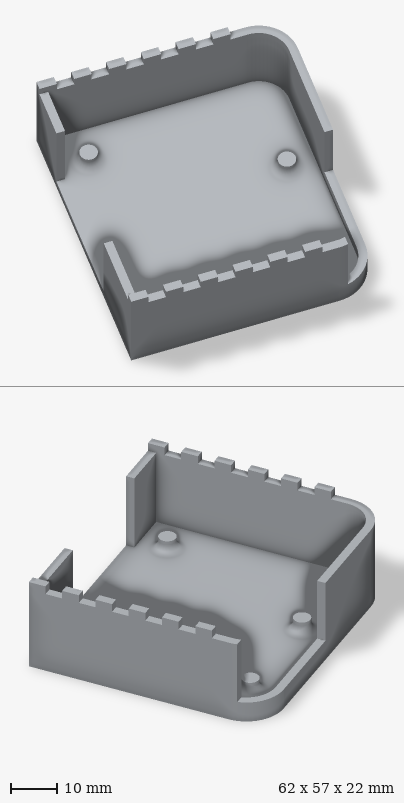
import cadquery as cq


width = 62.0
depth = 57.0
wall_height = 20.0
wall = 2.0
floor = 2.0
corner_radius = 9.0

front_left_stub = 13.0
front_right_stub = 18.0

notch_start = 32.0
notch_depth = 7.0

tooth_count = 6
tooth_pitch = 8.0
tooth_length = tooth_pitch / 2
tooth_height = 2.0

post_diameter = 4.0
post_height = 3.0
post_flare = 2.0
post_inset_y = 8.5
post_left_x = 10.0
post_middle_x = 26.0
post_right_x = width - post_left_x
post_front_y = post_inset_y
post_back_y = depth - post_inset_y
post_places = [
    (post_left_x, post_front_y),
    (post_right_x, post_front_y),
    (post_middle_x, post_back_y),
    (post_right_x, post_back_y),
]


def corner_box(length_x, length_y, length_z, place):
    """Box with its lowest corner at the given place."""
    return cq.Workplane("XY").box(length_x, length_y, length_z, centered=False).translate(place)


def rounded_block(length_x, length_y, height, back_radius):
    """Block with its two back vertical edges rounded."""
    block = cq.Workplane("XY").box(length_x, length_y, height, centered=False)
    return block.edges("|Z and >Y").fillet(back_radius)


def make_shell():
    """Floor and surrounding wall, with the front opening and back notch removed."""
    outside = rounded_block(width, depth, wall_height, corner_radius)
    inside = rounded_block(width - 2 * wall, depth - 2 * wall, wall_height, corner_radius - wall)
    shell = outside.cut(inside.translate((wall, wall, floor)))

    opening_width = width - front_left_stub - front_right_stub
    opening = corner_box(opening_width, wall, wall_height, (front_left_stub, 0, floor))

    notch_place = (notch_start, depth - notch_depth, floor + post_height)
    notch = corner_box(width - notch_start, notch_depth, wall_height, notch_place)
    return shell.cut(opening).cut(notch)


def make_post(x, y):
    """Round pin whose foot flares out in a quarter circle to meet the floor."""
    pin_radius = post_diameter / 2
    foot_radius = pin_radius + post_flare
    profile = (
        cq.Workplane("XZ")
        .lineTo(foot_radius, 0)
        .radiusArc((pin_radius, post_flare), post_flare)
        .lineTo(pin_radius, post_height)
        .lineTo(0, post_height)
        .close()
    )
    return profile.revolve(360, (0, 0, 0), (0, 1, 0)).translate((x, y, floor))


result = make_shell()

for post_x, post_y in post_places:
    result = result.union(make_post(post_x, post_y))

for wall_x in (0, width - wall):
    for index in range(tooth_count):
        tooth_place = (wall_x, index * tooth_pitch, wall_height)
        result = result.union(corner_box(wall, tooth_length, tooth_height, tooth_place))